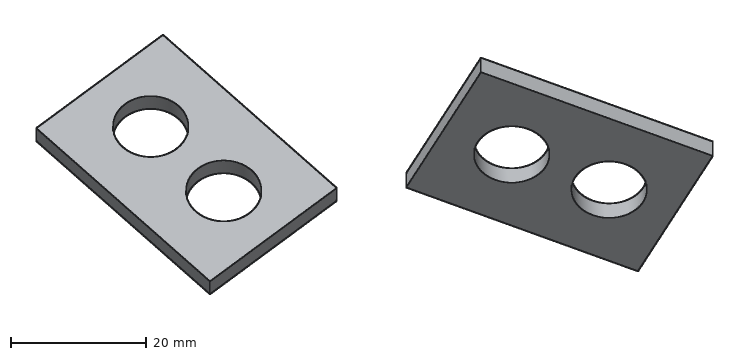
import cadquery as cq

length = 38.1
width = 25.4
thickness = 3.25

hole_diameter = 11.15
hole_spacing = 16.0
first_hole_from_left = 11.2

first_hole_x = first_hole_from_left - length / 2
hole_centres = [(first_hole_x + i * hole_spacing, 0) for i in range(2)]

plate = cq.Workplane("XY").box(length, width, thickness)
result = plate.faces(">Z").workplane(origin=(0, 0, 0)).pushPoints(hole_centres).hole(hole_diameter)